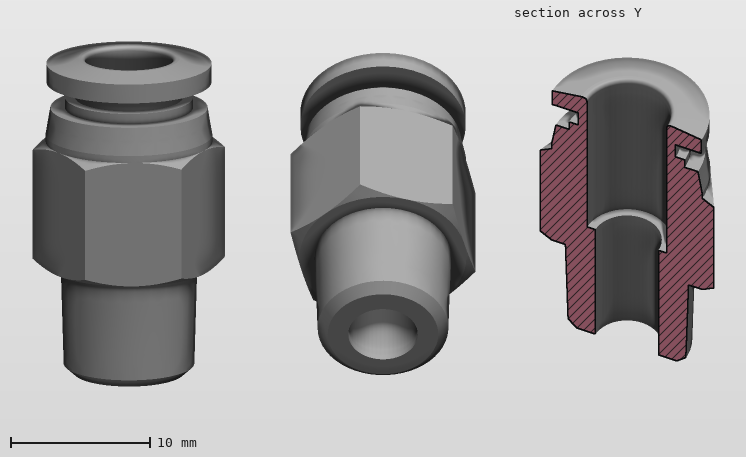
import cadquery as cq
import math

hex_across_flats = 12.0
hex_across_corners = hex_across_flats / math.cos(math.radians(30))
hex_bottom = 8.0
hex_top = 17.2
hex_chamfer_angle = 30

thread_top_radius = 4.91
thread_bottom_radius = 4.7
tip_radius = 3.98
tip_chamfer_height = 0.65

collar_radius = hex_across_flats / 2
collar_straight_top = 17.71
collar_top = 19.73
collar_top_radius = 5.66

ring_radius = 4.6
ring_top = 20.48
neck_radius = 3.88
cap_bottom = 21.62
cap_radius = 5.95
cap_edge_top = 23.03
total_height = 23.4

rim_outer_radius = 3.65
tube_radius = 3.15
mouth_round = 0.3
tube_depth = 12.87
passage_radius = 2.5


def revolve_profile(points):
    """Revolve (radius, height) points about the Z axis."""
    return cq.Workplane("XZ").polyline(points).close().revolve(360, (0, 0, 0), (0, 1, 0))


def make_hexagon():
    """Hexagonal prism with corners on X, turned to a cone at both ends."""
    prism = (
        cq.Workplane("XY")
        .workplane(offset=hex_bottom)
        .polygon(6, hex_across_corners)
        .extrude(hex_top - hex_bottom)
    )
    corner_radius = hex_across_corners / 2
    end_radius = hex_across_flats / 2
    chamfer_height = (corner_radius - end_radius) * math.tan(math.radians(hex_chamfer_angle))
    envelope = revolve_profile([
        (0, hex_bottom),
        (end_radius, hex_bottom),
        (corner_radius, hex_bottom + chamfer_height),
        (corner_radius, hex_top - chamfer_height),
        (end_radius, hex_top),
        (0, hex_top),
    ])
    return prism.intersect(envelope)


def make_thread():
    return revolve_profile([
        (0, 0),
        (tip_radius, 0),
        (thread_bottom_radius, tip_chamfer_height),
        (thread_top_radius, hex_bottom),
        (0, hex_bottom),
    ])


def make_collar_and_button():
    return revolve_profile([
        (0, hex_top),
        (collar_radius, hex_top),
        (collar_radius, collar_straight_top),
        (collar_top_radius, collar_top),
        (ring_radius, collar_top),
        (ring_radius, ring_top),
        (neck_radius, ring_top),
        (neck_radius, cap_bottom),
        (cap_radius, cap_bottom),
        (cap_radius, cap_edge_top),
        (rim_outer_radius, total_height),
        (0, total_height),
    ])


def make_bore():
    """Tube socket with a convex rounded mouth, stepping down to a through passage."""
    tube_floor = total_height - tube_depth
    mouth_radius = tube_radius + mouth_round
    arc_inset = mouth_round * math.cos(math.radians(45))
    arc_middle = (mouth_radius - arc_inset, total_height - mouth_round + arc_inset)
    return (
        cq.Workplane("XZ")
        .lineTo(passage_radius, 0)
        .lineTo(passage_radius, tube_floor)
        .lineTo(tube_radius, tube_floor)
        .lineTo(tube_radius, total_height - mouth_round)
        .threePointArc(arc_middle, (mouth_radius, total_height))
        .lineTo(0, total_height)
        .close()
        .revolve(360, (0, 0, 0), (0, 1, 0))
    )


result = make_hexagon().union(make_thread()).union(make_collar_and_button()).cut(make_bore())